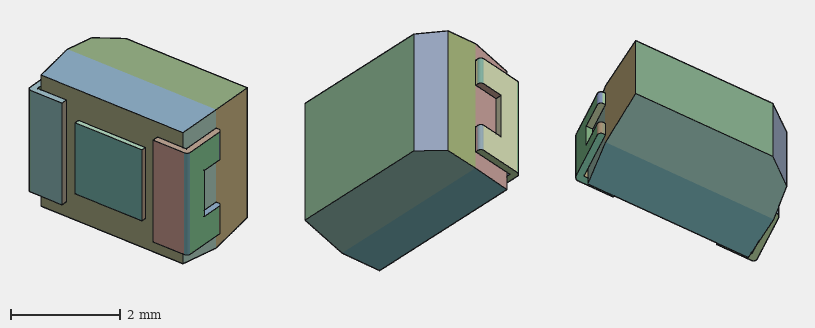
import cadquery as cq
import math

overall_length = 3.7
overall_height = 3.0
overall_depth = 2.1
draft_angle = 5.0
back_depth = 1.07
lead_thickness = 0.135
case_length = overall_length - 2 * lead_thickness

bevel_depth = 0.405
bevel_inset = 0.54

lead_height = 2.205
foot_length = 0.8
bend_radius = 0.078
notch_height = 1.0
notch_depth = 0.533
lead_front = overall_depth - back_depth
front_depth = lead_front - lead_thickness

pad_side = 1.54
pad_thickness = 0.105


def make_case_half(depth, direction):
    """Drafted block running from the parting plane to Y = direction * depth."""
    inset = depth * math.tan(math.radians(draft_angle))
    return (
        cq.Workplane("XZ")
        .rect(case_length, overall_height)
        .workplane(offset=-direction * depth)
        .rect(case_length - 2 * inset, overall_height - 2 * inset)
        .loft(ruled=True, combine=True)
    )


def make_case():
    """Case with its two drafted halves in one piece and a bevelled back edge."""
    case = make_case_half(back_depth, 1).union(make_case_half(front_depth, -1))
    widest_edge = -case_length / 2
    bevel_end = back_depth - bevel_depth
    drafted_edge = widest_edge + bevel_end * math.tan(math.radians(draft_angle))
    back_edge = widest_edge + bevel_inset
    slope = (back_edge - drafted_edge) / bevel_depth
    margin = 0.185
    cutter = (
        cq.Workplane("XY")
        .polyline([
            (drafted_edge - margin * slope, bevel_end - margin),
            (back_edge + margin * slope, back_depth + margin),
            (drafted_edge - margin * slope, back_depth + margin),
        ])
        .close()
        .extrude(overall_height / 2, both=True)
    )
    return case.cut(cutter)


def make_lead(side):
    """L-shaped lead at the -X (side = -1) or +X (side = 1) end of the case."""
    outer = side * overall_length / 2
    inner = side * case_length / 2
    foot_end = outer - side * foot_length
    lead = (
        cq.Workplane("XY")
        .polyline([
            (inner, 0),
            (outer, 0),
            (outer, -lead_front),
            (foot_end, -lead_front),
            (foot_end, -front_depth),
            (inner, -front_depth),
        ])
        .close()
        .extrude(lead_height / 2, both=True)
    )
    outer_edges = "|Z and >X" if side > 0 else "|Z and <X"
    lead = lead.edges(outer_edges).fillet(bend_radius)
    notch = (
        cq.Workplane("XY")
        .box(2 * lead_thickness, 2 * notch_depth, notch_height)
        .translate(((outer + inner) / 2, 0, 0))
    )
    return lead.cut(notch)


def make_pad():
    """Square pad lying on the front face of the case."""
    return (
        cq.Workplane("XY")
        .box(pad_side, pad_thickness, pad_side)
        .translate((0, -front_depth - pad_thickness / 2, 0))
    )


case = make_case()
leads = [make_lead(side) for side in (-1, 1)]
pad = make_pad()

result = cq.Compound.makeCompound([case.val(), pad.val(), *[lead.val() for lead in leads]])